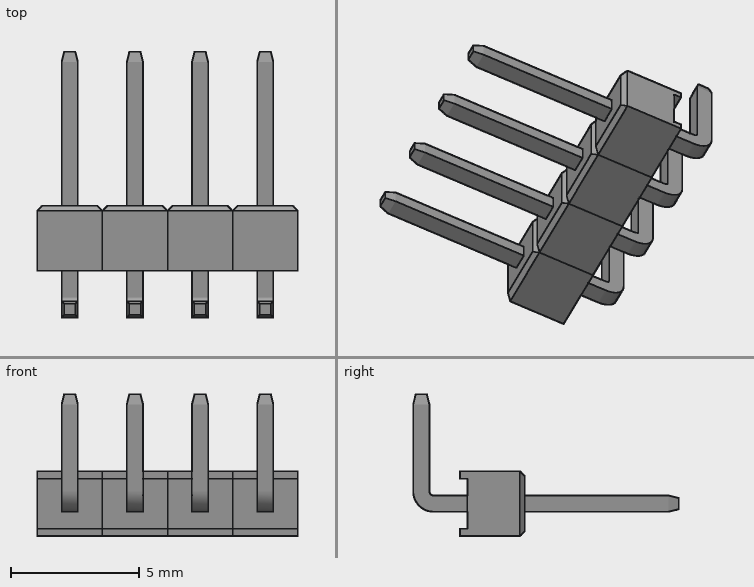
import cadquery as cq

pitch = 2.54
unit_count = 4

housing_width = pitch
housing_depth = 2.54
housing_height = 2.54
mating_chamfer = 0.2
channel_depth = 0.3
lip_thickness = 0.3
channel_height = housing_height - 2 * lip_thickness

pin_size = 0.64
pin_axis_z = housing_height / 2
bend_outer_y = -1.82
overall_depth = 10.36
overall_height = 5.54
mating_tip_y = bend_outer_y + overall_depth
upright_tip_z = overall_height
tip_length = 0.4
tip_inset = 0.1
tip_size = pin_size - 2 * tip_inset
bend_inner_radius = pin_size / 4
bend_outer_radius = bend_inner_radius + pin_size


def make_housing():
    """Block with a chamfered +Y face and a full-width channel in the -Y face."""
    block = (
        cq.Workplane("XY")
        .box(housing_width, housing_depth, housing_height, centered=(True, False, False))
        .faces(">Y")
        .chamfer(mating_chamfer)
    )
    channel = (
        cq.Workplane("XY")
        .box(housing_width, channel_depth, channel_height, centered=(True, False, False))
        .translate((0, 0, lip_thickness))
    )
    return block.cut(channel)


def make_tip(base_plane):
    """Square tip that tapers along the normal of base_plane."""
    return (
        cq.Workplane(base_plane)
        .rect(pin_size, pin_size)
        .workplane(offset=tip_length)
        .rect(tip_size, tip_size)
        .loft(combine=True)
    )


def make_pin():
    """L-shaped square wire: one leg along +Y, one along +Z, joined by a rounded bend."""
    leg_end_y = mating_tip_y - tip_length
    leg_end_z = upright_tip_z - tip_length
    leg_bottom_z = pin_axis_z - pin_size / 2
    leg_top_z = leg_bottom_z + pin_size
    bend_inner_y = bend_outer_y + pin_size

    bar = (
        cq.Workplane("YZ")
        .moveTo(bend_outer_y + bend_outer_radius, leg_bottom_z)
        .lineTo(leg_end_y, leg_bottom_z)
        .lineTo(leg_end_y, leg_top_z)
        .lineTo(bend_inner_y + bend_inner_radius, leg_top_z)
        .radiusArc((bend_inner_y, leg_top_z + bend_inner_radius), bend_inner_radius)
        .lineTo(bend_inner_y, leg_end_z)
        .lineTo(bend_outer_y, leg_end_z)
        .lineTo(bend_outer_y, leg_bottom_z + bend_outer_radius)
        .radiusArc((bend_outer_y + bend_outer_radius, leg_bottom_z), -bend_outer_radius)
        .close()
        .extrude(pin_size / 2, both=True)
    )
    mating_base = cq.Plane(origin=(0, leg_end_y, pin_axis_z), xDir=(1, 0, 0), normal=(0, 1, 0))
    upright_base = cq.Plane(
        origin=(0, bend_outer_y + pin_size / 2, leg_end_z), xDir=(1, 0, 0), normal=(0, 0, 1)
    )
    return bar.union(make_tip(mating_base)).union(make_tip(upright_base))


def make_header_unit(center_x):
    """One housing block and its pin as a single solid, centred on center_x."""
    return make_housing().union(make_pin()).translate((center_x, 0, 0))


header_units = []
for index in range(unit_count):
    unit_x = (index - (unit_count - 1) / 2) * pitch
    header_units.append(make_header_unit(unit_x))

result = cq.Compound.makeCompound([unit.val() for unit in header_units])